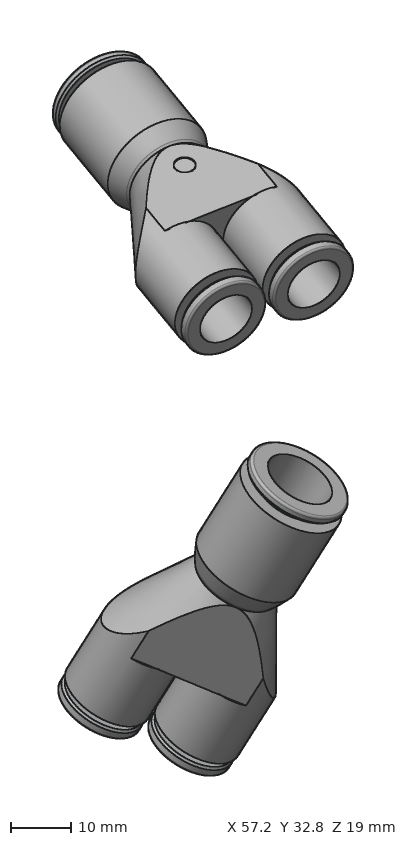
import cadquery as cq


length = 57.2
width = 32.75

inlet_radius = 9.5
inlet_neck_radius = 6.6
inlet_bore_radius = 6.0
inlet_collar_radius = 9.15
inlet_collar_end = 1.8
inlet_collar_fillet = 0.45
inlet_body_start = 3.3
inlet_body_end = 19.4

flare_mid_x = 21.2
flare_mid_radius = 8.8
flare_end_x = 22.95
flare_end_radius = 7.95
waist_x = 23.45
waist_radius = 7.6

outlet_radius = 7.95
outlet_neck_radius = 5.6
outlet_bore_radius = 5.0
outlet_collar_radius = 7.7
outlet_collar_start = 55.2
outlet_collar_fillet = 0.4
outlet_body_start = 40.75
outlet_body_end = 53.95
outlet_offset = width / 2 - outlet_radius
outlet_positions = (-outlet_offset, outlet_offset)

bevel_length = 0.45
bevel_depth = 0.35

fork_half_height = 7.6
recess_x = 28.6
recess_radius = 1.85
recess_depth = 0.25


def rod(start_x, end_x, radius, y=0.0):
    """Cylinder along X between two X positions."""
    return (
        cq.Workplane("YZ", origin=(start_x, y, 0))
        .circle(radius)
        .extrude(end_x - start_x)
    )


def revolve_about_x(profile):
    """Full turn of a profile drawn in the XY plane about the X axis."""
    return profile.close().revolve(360, (0, 0, 0), (1, 0, 0))


def collar(outer_x, inner_x, radius, fillet):
    """Release collar with a rounded outer rim and a bevel on its inner rim."""
    inward = 1 if inner_x > outer_x else -1
    inner_rim_radius = radius - bevel_depth
    profile = (
        cq.Workplane("XY")
        .moveTo(outer_x, 0)
        .lineTo(outer_x, radius - fillet)
        .radiusArc((outer_x + inward * fillet, radius), inward * fillet)
        .lineTo(inner_x - inward * bevel_length, radius)
        .lineTo(inner_x, inner_rim_radius)
        .lineTo(inner_x, 0)
    )
    return revolve_about_x(profile)


def inlet():
    """Large cylindrical body with its flare, neck and collar."""
    body = revolve_about_x(
        cq.Workplane("XY")
        .moveTo(inlet_body_start, 0)
        .lineTo(inlet_body_start, inlet_radius)
        .lineTo(inlet_body_end, inlet_radius)
        .threePointArc((flare_mid_x, flare_mid_radius), (flare_end_x, flare_end_radius))
        .lineTo(waist_x, waist_radius)
        .lineTo(waist_x, 0)
    )
    neck = rod(inlet_collar_end, inlet_body_start, inlet_neck_radius)
    end_collar = collar(0, inlet_collar_end, inlet_collar_radius, inlet_collar_fillet)
    return body.union(neck).union(end_collar)


def fork_envelope():
    """Space the fork and outlet bodies may fill: a widening cone, then a straight cylinder."""
    return revolve_about_x(
        cq.Workplane("XY")
        .moveTo(waist_x, 0)
        .lineTo(waist_x, waist_radius)
        .lineTo(outlet_body_start, width / 2)
        .lineTo(outlet_body_end, width / 2)
        .lineTo(outlet_body_end, 0)
    )


def fork_block(y_size, z_size):
    """Block as long as the fork, centred on the X axis."""
    return cq.Workplane("XY", origin=(waist_x, 0, 0)).box(
        outlet_body_start - waist_x, y_size, z_size, centered=(False, True, True)
    )


def fork():
    """Both outlet cylinders run back to the waist, bridged by a web and flattened there."""
    cylinders = rod(waist_x, outlet_body_end, outlet_radius, outlet_offset).union(
        rod(waist_x, outlet_body_end, outlet_radius, -outlet_offset)
    )
    above_and_below_flats = fork_block(width, 2 * outlet_radius).cut(
        fork_block(width, 2 * fork_half_height)
    )
    web = fork_block(2 * outlet_offset, 2 * fork_half_height)
    return cylinders.cut(above_and_below_flats).union(web).intersect(fork_envelope())


def outlet_end(y):
    """Neck and collar of one outlet."""
    neck = rod(outlet_body_end, outlet_collar_start, outlet_neck_radius, y)
    end_collar = collar(
        length, outlet_collar_start, outlet_collar_radius, outlet_collar_fillet
    ).translate((0, y, 0))
    return neck.union(end_collar)


result = inlet().union(fork())
for outlet_y in outlet_positions:
    result = result.union(outlet_end(outlet_y))

result = result.cut(rod(0, inlet_body_end, inlet_bore_radius))
for outlet_y in outlet_positions:
    result = result.cut(rod(outlet_body_start, length, outlet_bore_radius, outlet_y))

recess = (
    cq.Workplane("XY", origin=(recess_x, 0, fork_half_height - recess_depth))
    .circle(recess_radius)
    .extrude(recess_depth)
)
result = result.cut(recess)